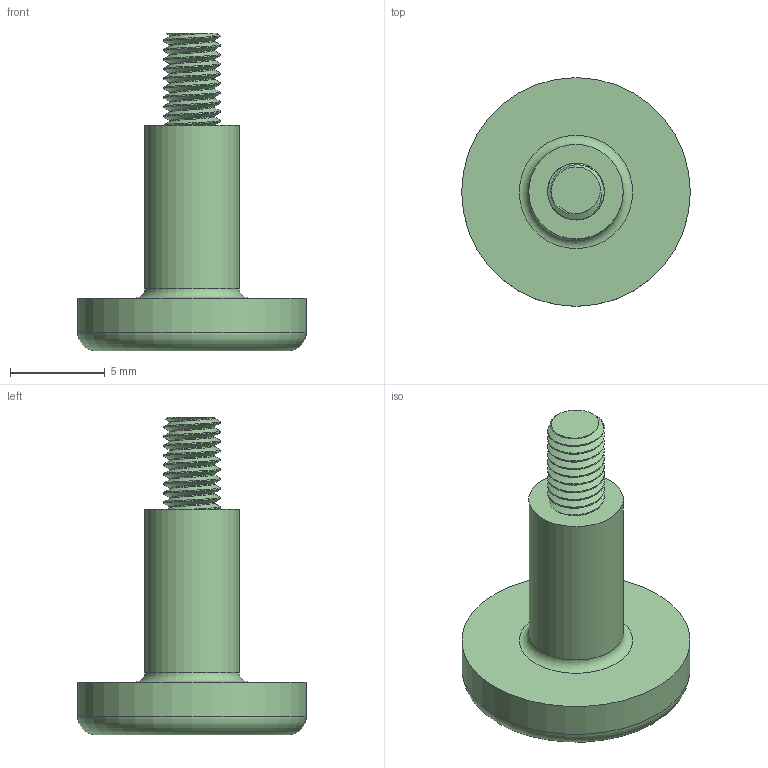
import cadquery as cq
import math

head_diameter = 12.1
head_height = 2.8
head_edge_radius = 1.0

shoulder_diameter = 5.0
shoulder_top = 11.95
shoulder_fillet = 0.5

total_height = 16.82
major_diameter = 3.0
minor_diameter = 2.35
pitch = 0.5
flank_half_angle = math.radians(30)
crest_width = pitch / 8
tip_chamfer = 0.2
first_crest_depth = 0.155
thread_allowance = 0.05
thread_turns = 12


def make_body():
    """Head with a rounded lower edge, and the shoulder with its concave fillet."""
    head = cq.Workplane("XY").circle(head_diameter / 2).extrude(head_height)
    head = head.faces("<Z").edges().fillet(head_edge_radius)

    shoulder_radius = shoulder_diameter / 2
    fillet_foot_radius = shoulder_radius + shoulder_fillet
    fillet_top = head_height + shoulder_fillet
    arc_offset = shoulder_fillet * (1 - math.sqrt(0.5))
    shoulder = (
        cq.Workplane("XZ")
        .lineTo(fillet_foot_radius, 0)
        .lineTo(fillet_foot_radius, head_height)
        .threePointArc(
            (shoulder_radius + arc_offset, head_height + arc_offset),
            (shoulder_radius, fillet_top),
        )
        .lineTo(shoulder_radius, shoulder_top)
        .lineTo(0, shoulder_top)
        .close()
        .revolve()
    )
    return head.union(shoulder)


def make_thread():
    """Right-handed ridge on a core, trimmed to length with a chamfered tip."""
    crest_radius = major_diameter / 2
    base_radius = minor_diameter / 2 - thread_allowance
    half_crest = crest_width / 2
    half_base = half_crest + (crest_radius - base_radius) * math.tan(flank_half_angle)
    ridge_length = thread_turns * pitch
    start_height = total_height - first_crest_depth + pitch - ridge_length

    helix = cq.Wire.makeHelix(pitch, ridge_length, base_radius)
    ridge = (
        cq.Workplane("XZ")
        .moveTo(base_radius, -half_base)
        .lineTo(crest_radius, -half_crest)
        .lineTo(crest_radius, half_crest)
        .lineTo(base_radius, half_base)
        .close()
        .sweep(cq.Workplane(obj=helix), isFrenet=True)
        .translate((0, 0, start_height))
    )

    core_bottom = start_height - pitch
    core_height = total_height - core_bottom
    core = (
        cq.Workplane("XY", origin=(0, 0, core_bottom))
        .circle(minor_diameter / 2)
        .extrude(core_height)
    )

    envelope = (
        cq.Workplane("XY", origin=(0, 0, core_bottom))
        .circle(crest_radius + thread_allowance)
        .extrude(core_height)
        .faces(">Z")
        .chamfer(tip_chamfer + thread_allowance)
    )
    return ridge.intersect(envelope).union(core)


result = make_body().union(make_thread())